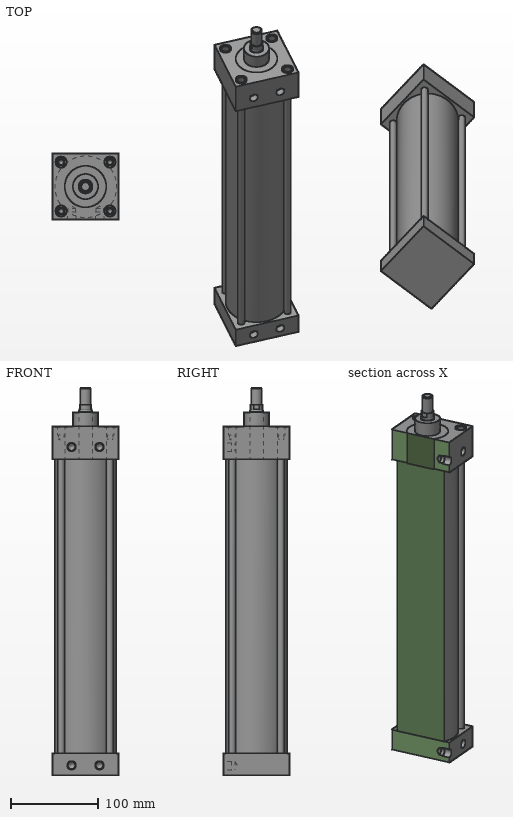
import cadquery as cq

total_height = 444.5
end_cap_top = 25.5
head_bottom = 362.3
head_top = 400.0
boss_top = 416.0
rod_cone_bottom = 417.0
rod_cone_top = 419.5
rod_shoulder = 425.0

cap_width = 76.0
tie_rod_diameter = 8.0
tie_rod_offset = 28.0

barrel_diameter = 70.5
gland_diameter = 47.5
boss_diameter = 29.0
rod_diameter = 16.0
neck_diameter = 14.2
flats_width = 13.0
tip_diameter = 12.5
tip_chamfer = 1.5

port_diameter = 10.0
port_core_diameter = 8.5
port_spacing = 32.0
end_port_height = 11.5
head_port_height = 376.5
screw_hole_diameter = 9.0
screw_core_diameter = 6.2
spotface_diameter = 13.0
spotface_depth = 1.0
thread_depth = 9.0
core_depth = 13.5
drill_tip_ratio = 0.6

corners = [(x, y) for x in (-tie_rod_offset, tie_rod_offset) for y in (-tie_rod_offset, tie_rod_offset)]


def cylinder(diameter, bottom, top):
    return cq.Workplane("XY").workplane(offset=bottom).circle(diameter / 2).extrude(top - bottom)


def revolved(profile):
    """Solid of revolution about Z from (radius, height) points that start and end on the axis."""
    return cq.Workplane("XZ").polyline(profile).close().revolve(360, (0, 0, 0), (0, 1, 0))


def square_cap(bottom, top):
    return cq.Workplane("XY").workplane(offset=bottom).rect(cap_width, cap_width).extrude(top - bottom)


def threaded_hole(diameter, core_diameter):
    """Cutter that runs down from the origin: thread, narrower core and drill tip."""
    radius = diameter / 2
    core_radius = core_diameter / 2
    return revolved([
        (0, 0),
        (radius, 0),
        (radius, -thread_depth),
        (core_radius, -thread_depth),
        (core_radius, -core_depth),
        (0, -core_depth - drill_tip_ratio * core_radius),
    ])


def make_housing():
    housing = square_cap(0, end_cap_top)
    for x, y in corners:
        housing = housing.union(cylinder(tie_rod_diameter, end_cap_top, head_bottom).translate((x, y, 0)))
    housing = housing.union(square_cap(head_bottom, head_top))

    housing = housing.cut(cylinder(gland_diameter, head_bottom, head_top))

    screw_hole = threaded_hole(screw_hole_diameter, screw_core_diameter)
    spotface_floor = head_top - spotface_depth
    for x, y in corners:
        housing = housing.cut(cylinder(spotface_diameter, spotface_floor, head_top).translate((x, y, 0)))
        housing = housing.cut(screw_hole.translate((x, y, spotface_floor)))

    port = threaded_hole(port_diameter, port_core_diameter).rotate((0, 0, 0), (1, 0, 0), 90)
    for z in (end_port_height, head_port_height):
        for x in (-port_spacing / 2, port_spacing / 2):
            housing = housing.cut(port.translate((x, -cap_width / 2, z)))
    return housing


def make_barrel():
    return cylinder(barrel_diameter, end_cap_top, head_bottom)


def make_gland():
    gland = cylinder(gland_diameter, head_bottom, head_top).union(cylinder(boss_diameter, head_top, boss_top))
    return gland.cut(cylinder(rod_diameter, head_bottom, boss_top))


def make_piston_rod():
    rod_radius = rod_diameter / 2
    neck_radius = neck_diameter / 2
    tip_radius = tip_diameter / 2
    rod = revolved([
        (0, head_bottom),
        (rod_radius, head_bottom),
        (rod_radius, rod_cone_bottom),
        (neck_radius, rod_cone_top),
        (neck_radius, rod_shoulder),
        (tip_radius, rod_shoulder),
        (tip_radius, total_height - tip_chamfer),
        (tip_radius - tip_chamfer, total_height),
        (0, total_height),
    ])

    neck_height = rod_shoulder - rod_cone_top
    flat_cutter = cq.Workplane("XY").box(rod_diameter, rod_diameter, neck_height)
    cutter_offset = (flats_width + rod_diameter) / 2
    neck_middle = (rod_cone_top + rod_shoulder) / 2
    for side in (-1, 1):
        rod = rod.cut(flat_cutter.translate((side * cutter_offset, 0, neck_middle)))
    return rod


housing = make_housing()
barrel = make_barrel()
gland = make_gland()
piston_rod = make_piston_rod()

result = cq.Compound.makeCompound([
    housing.solids().val(),
    barrel.solids().val(),
    gland.solids().val(),
    piston_rod.solids().val(),
])